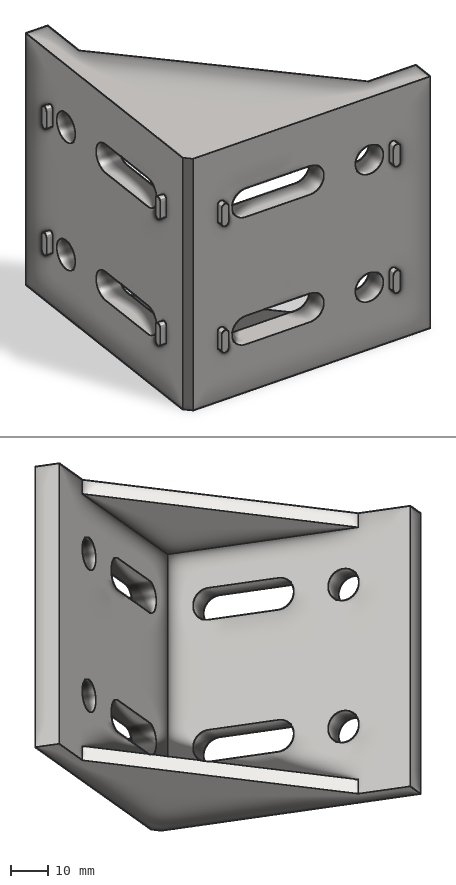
import cadquery as cq

height = 79.0
tab_depth = 2.0
wall_length = 80 - tab_depth
wall_thickness = 7.0
gusset_thickness = 4.0
gusset_setback = 15.2
corner_chamfer = 2.0

row_offset = 20.0
hole_diameter = 9.0
hole_position = wall_length - 19.5
slot_length = 29.4
slot_position = 29.2
tab_width = 2.2
tab_height = 7.0
tab_positions = (11.0, wall_length - 12)
tab_row_offset = 19.8


def rows(positions, offset):
    """Points at the given wall positions, in rows above and below mid-height."""
    return [(-position, side * offset) for position in positions for side in (-1, 1)]


def wall_plane(depth):
    """Sketch plane parallel to the X wall, with its normal pointing outward (-Y)."""
    return cq.Workplane("XZ", origin=(0, depth, 0))


def on_both_walls(feature):
    """Join a feature of the X wall with its mirror image on the Y wall."""
    mirrored = feature.mirror("YZ").rotate((0, 0, 0), (0, 0, 1), 90)
    return feature.union(mirrored)


def make_body():
    """L-shaped walls joined by a triangular gusset at the top and the bottom."""
    inner = -wall_thickness
    gusset_end = gusset_setback - wall_length
    outline = [
        (0, 0),
        (-wall_length, 0),
        (-wall_length, wall_thickness),
        (gusset_end, wall_thickness),
        (inner, -gusset_end),
        (inner, wall_length),
        (0, wall_length),
    ]
    body = cq.Workplane("XY").polyline(outline).close().extrude(height / 2, both=True)
    pocket_size = wall_length - wall_thickness
    pocket = cq.Workplane("XY").box(
        pocket_size, pocket_size, height - 2 * gusset_thickness, centered=(False, False, True)
    ).translate((-wall_length, wall_thickness, 0))
    return body.cut(pocket).edges("|Z and >X and <Y").chamfer(corner_chamfer)


def make_openings():
    """Round holes and horizontal slots through the X wall."""
    holes = (
        wall_plane(wall_thickness)
        .pushPoints(rows([hole_position], row_offset))
        .circle(hole_diameter / 2)
        .extrude(wall_thickness)
    )
    slots = (
        wall_plane(wall_thickness)
        .pushPoints(rows([slot_position], row_offset))
        .slot2D(slot_length, hole_diameter)
        .extrude(wall_thickness)
    )
    return holes.union(slots)


def make_tabs():
    """Upright round-ended locating tabs on the outer face of the X wall."""
    return (
        wall_plane(0)
        .pushPoints(rows(tab_positions, tab_row_offset))
        .slot2D(tab_height, tab_width, 90)
        .extrude(tab_depth)
    )


result = make_body().cut(on_both_walls(make_openings())).union(on_both_walls(make_tabs()))